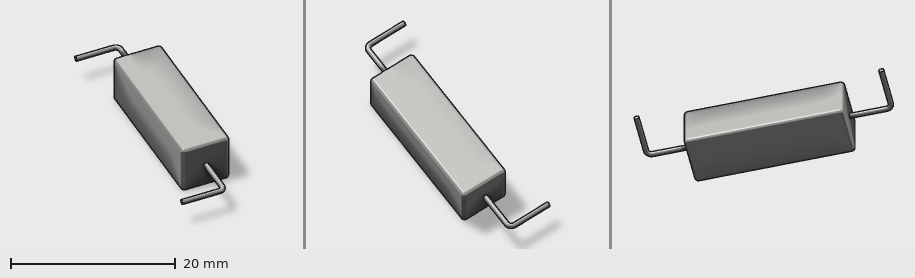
import cadquery as cq

body_length = 20.0
body_side = 6.4
edge_radius = 0.5

overall_length = 31.13
overall_depth = 8.9
wire_diameter = 0.65
bend_radius = 0.7

wire_radius = wire_diameter / 2
leg_x = overall_length / 2 - wire_radius
leg_end_y = body_side / 2 - overall_depth


def make_body():
    """Square block with every edge rounded."""
    block = cq.Workplane("XY").box(body_length, body_side, body_side)
    return block.edges().fillet(edge_radius)


def make_wire():
    """One wire along X through the body, with both ends bent towards -Y."""
    path = (
        cq.Workplane("XY")
        .moveTo(-leg_x, leg_end_y)
        .lineTo(-leg_x, -bend_radius)
        .tangentArcPoint((-leg_x + bend_radius, 0), relative=False)
        .lineTo(leg_x - bend_radius, 0)
        .tangentArcPoint((leg_x, -bend_radius), relative=False)
        .lineTo(leg_x, leg_end_y)
    )
    start_plane = cq.Plane(origin=(-leg_x, leg_end_y, 0), xDir=(1, 0, 0), normal=(0, 1, 0))
    return cq.Workplane(start_plane).circle(wire_radius).sweep(path)


result = make_body().union(make_wire())